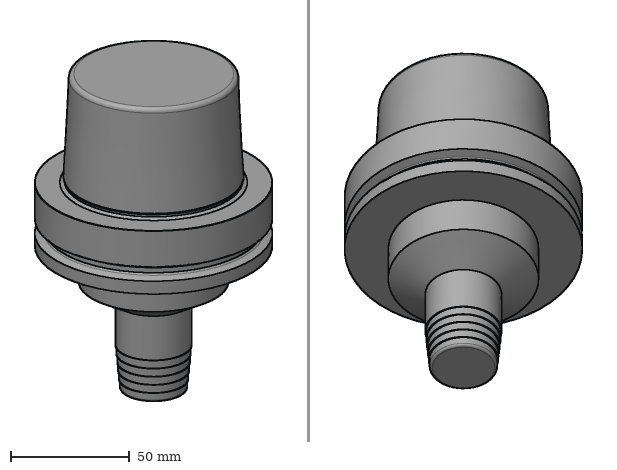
import cadquery as cq
import math

TOTAL_HEIGHT = 144.9
JOINT_Z = 65.8

FLANGE_RADIUS = 50.0
FLANGE_TOP_Z = 94.9
FLANGE_EDGE_CHAMFER = 0.1

GROOVE_RADIUS = 46.0
GROOVE_TOP_Z = 78.2
GROOVE_BOTTOM_Z = 71.7
GROOVE_WALL_ANGLE = 20.0
GROOVE_ROOT_FILLET = 0.9

TAPER_TOP_RADIUS = 35.6
TAPER_BASE_RADIUS = 38.0
TAPER_BASE_Z = 97.5
TAPER_TOP_FILLET = 2.2
NECK_RADIUS = 37.5
NECK_TOP_Z = 96.8
NECK_FLARE_RADIUS = 39.4
NECK_FLARE_HEIGHT = 0.9

COLLAR_RADIUS = 31.6
COLLAR_BOTTOM_Z = 49.4
CONE_ANGLE = 30.0
SPIGOT_RADIUS = 16.1

TIP_TOP_Z = 20.0
BAND_COUNT = 5
BAND_HEIGHT = 3.9
BAND_STEP = 0.36
TIP_EDGE_FILLET = 1.2


def ring_edge(body, radius, z):
    """Select the circular edges of the given radius at the given height."""
    reach = 0.01
    outer = radius + reach
    return body.edges(cq.selectors.BoxSelector((-outer, -outer, z - reach), (outer, outer, z + reach)))


def revolve_profile(points):
    """Spin a closed (radius, height) outline about the Z axis."""
    return cq.Workplane("XZ").polyline(points).close().revolve(360, (0, 0, 0), (0, 1, 0))


def make_plug():
    plug = revolve_profile([
        (0, FLANGE_TOP_Z),
        (NECK_FLARE_RADIUS, FLANGE_TOP_Z),
        (NECK_RADIUS, FLANGE_TOP_Z + NECK_FLARE_HEIGHT),
        (NECK_RADIUS, NECK_TOP_Z),
        (TAPER_BASE_RADIUS, TAPER_BASE_Z),
        (TAPER_TOP_RADIUS, TOTAL_HEIGHT),
        (0, TOTAL_HEIGHT),
    ])
    return plug.faces(">Z").edges().fillet(TAPER_TOP_FILLET)


def make_flange():
    blank = cq.Workplane("XY").workplane(offset=JOINT_Z).circle(FLANGE_RADIUS)
    blank = blank.extrude(FLANGE_TOP_Z - JOINT_Z)
    return blank.faces(">Z").edges().chamfer(FLANGE_EDGE_CHAMFER)


def make_groove_cutter():
    wall_drop = (FLANGE_RADIUS - GROOVE_RADIUS) * math.tan(math.radians(GROOVE_WALL_ANGLE))
    root_top_z = GROOVE_TOP_Z - wall_drop
    root_bottom_z = GROOVE_BOTTOM_Z + wall_drop
    ring = revolve_profile([
        (GROOVE_RADIUS, root_bottom_z),
        (FLANGE_RADIUS, GROOVE_BOTTOM_Z),
        (FLANGE_RADIUS, GROOVE_TOP_Z),
        (GROOVE_RADIUS, root_top_z),
    ])
    for root_z in (root_top_z, root_bottom_z):
        ring = ring_edge(ring, GROOVE_RADIUS, root_z).fillet(GROOVE_ROOT_FILLET)
    return ring


def make_holder():
    return make_flange().union(make_plug()).cut(make_groove_cutter())


def make_stem():
    cone_drop = (COLLAR_RADIUS - SPIGOT_RADIUS) * math.tan(math.radians(CONE_ANGLE))
    outline = [
        (0, JOINT_Z),
        (COLLAR_RADIUS, JOINT_Z),
        (COLLAR_RADIUS, COLLAR_BOTTOM_Z),
        (SPIGOT_RADIUS, COLLAR_BOTTOM_Z - cone_drop),
    ]
    radius = SPIGOT_RADIUS
    for band in range(BAND_COUNT):
        band_top_z = TIP_TOP_Z - band * BAND_HEIGHT
        outline.append((radius, band_top_z))
        radius -= BAND_STEP
        outline.append((radius, band_top_z))
    outline += [(radius, 0), (0, 0)]
    return revolve_profile(outline).faces("<Z").edges().fillet(TIP_EDGE_FILLET)


holder = make_holder()
stem = make_stem()

result = cq.Compound.makeCompound([holder.val(), stem.val()])